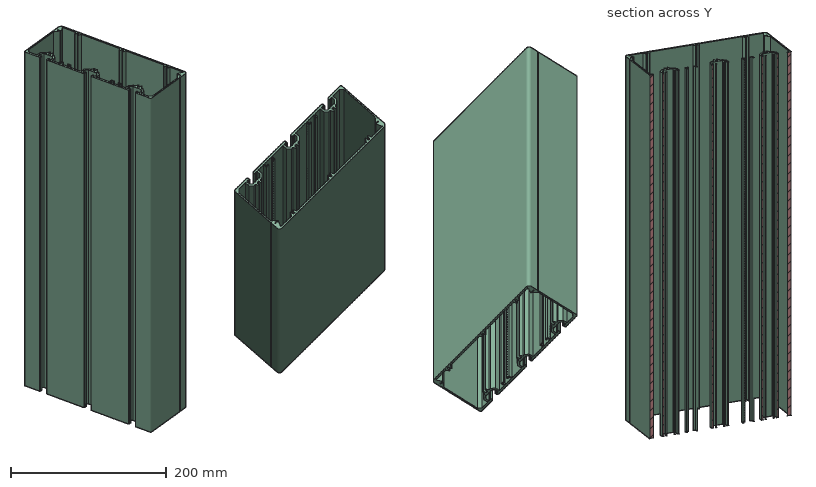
import cadquery as cq

WIDTH = 200.0
DEPTH = 80.0
LENGTH = 500.0
HALF_WIDTH = WIDTH / 2
HALF_DEPTH = DEPTH / 2

WALL = 3.0
BACK_WALL = 2.5
SIDE_WALL = 2.0
BACK_RADIUS = 4.5
FRONT_RADIUS = 1.5
INNER_CHAMFER = 4.0
FRONT_FACE = -HALF_DEPTH
FRONT_INNER = FRONT_FACE + WALL
BACK_INNER = HALF_DEPTH - BACK_WALL

SLOT_PITCH = 70.0
SLOT_CENTRES = (-SLOT_PITCH, 0.0, SLOT_PITCH)
SLOT_OPENING = 10.0
MOUTH_CHAMFER = 0.75
SLOT_HALF_WIDTH = 9.5
SLOT_SIDE_WALL = 2.5
SLOT_DEPTH = 11.0
SLOT_CHAMFER = 3.0
HOUSING_CHAMFER = 4.5
LIP_WIDTH = 1.5
LIP_HEIGHT = 1.5
HOUSING_HALF_WIDTH = SLOT_HALF_WIDTH + SLOT_SIDE_WALL
HOUSING_TOP = FRONT_FACE + SLOT_DEPTH + WALL

RIB_HEIGHT = 4.5
RIB_TIP_GAP = 3.5
RIB_BASE_GAP = 2.5
RIB_TIP = 1.0
RIB_BASE = 3.5

CLIP_CENTRE = 40.0
CLIP_HALF_WIDTH = 8.0
CLIP_HEIGHT = 5.0
CLIP_THICKNESS = 1.5
CLIP_HOOK = 4.5

BEAD_TOP = BACK_INNER
BEAD_PEAK = 29.5
BEAD_BOTTOM = 22.0
BEAD_REACH = 8.5
BEAD_FLAT = 5.0
JOINT_Y = 24.5
JOINT_WIDTH = 1.5
JOINT_DEPTH = 1.0
SLIT_WIDTH = 1.0
SLIT_FLOOR = 3.5


def prism(points):
    """Extrude a closed outline along the full length."""
    return cq.Workplane("XY").polyline(points).close().extrude(LENGTH)


def bar(x_min, x_max, y_min, y_max):
    """Full-length rectangular bar."""
    return prism([(x_min, y_min), (x_max, y_min), (x_max, y_max), (x_min, y_max)])


def arch(centre, half_width, base, top, chamfer):
    """Full-length bar with its two upper edges chamfered."""
    return prism([
        (centre - half_width, base),
        (centre + half_width, base),
        (centre + half_width, top - chamfer),
        (centre + half_width - chamfer, top),
        (centre - half_width + chamfer, top),
        (centre - half_width, top - chamfer),
    ])


def tube():
    """Hollow rectangular duct with rounded outer edges."""
    outer = cq.Workplane("XY").rect(WIDTH, DEPTH).extrude(LENGTH)
    outer = outer.edges("|Z and >Y").fillet(BACK_RADIUS)
    outer = outer.edges("|Z and <Y").fillet(FRONT_RADIUS)
    inner_x = HALF_WIDTH - SIDE_WALL
    cavity = bar(-inner_x, inner_x, FRONT_INNER, BACK_INNER)
    return outer.cut(cavity.edges("|Z and <Y").chamfer(INNER_CHAMFER))


def rib_pair(centre, base, direction):
    """Two ribs rising from base along Y, each tapering to its tip."""
    tip = base + direction * RIB_HEIGHT
    root = base - direction * BACK_WALL / 2
    tip_inner = RIB_TIP_GAP / 2
    base_inner = RIB_BASE_GAP / 2
    base_outer = base_inner + RIB_BASE
    ribs = cq.Workplane("XY")
    for side in (-1, 1):
        ribs = ribs.add(prism([
            (centre + side * base_inner, root),
            (centre + side * base_outer, root),
            (centre + side * base_outer, base),
            (centre + side * (tip_inner + RIB_TIP), tip),
            (centre + side * tip_inner, tip),
            (centre + side * base_inner, base),
        ]))
    return ribs.combine()


def slot_lips(centre):
    """Upstands along both edges of a slot opening."""
    edge = SLOT_OPENING / 2
    lip_top = FRONT_INNER + LIP_HEIGHT
    left = bar(centre - edge - LIP_WIDTH, centre - edge, FRONT_FACE, lip_top)
    right = bar(centre + edge, centre + edge + LIP_WIDTH, FRONT_FACE, lip_top)
    return left.union(right)


def slot_mouth(centre):
    """Opening through the front wall, chamfered at the front face."""
    edge = SLOT_OPENING / 2
    flare = edge + MOUTH_CHAMFER
    return prism([
        (centre - flare, FRONT_FACE),
        (centre + flare, FRONT_FACE),
        (centre + edge, FRONT_FACE + MOUTH_CHAMFER),
        (centre + edge, FRONT_INNER),
        (centre - edge, FRONT_INNER),
        (centre - edge, FRONT_FACE + MOUTH_CHAMFER),
    ])


def add_slot(body, centre):
    """Add a slot housing with its ribs, then open the T-slot."""
    body = body.union(arch(centre, HOUSING_HALF_WIDTH, FRONT_FACE, HOUSING_TOP, HOUSING_CHAMFER))
    slot_top = FRONT_FACE + SLOT_DEPTH
    body = body.cut(arch(centre, SLOT_HALF_WIDTH, FRONT_INNER, slot_top, SLOT_CHAMFER))
    body = body.union(slot_lips(centre))
    body = body.cut(slot_mouth(centre))
    body = body.union(rib_pair(centre, HOUSING_TOP, 1))
    return body.union(rib_pair(centre, BACK_INNER, -1))


def clip_rail(centre, side):
    """One upright on the front wall, hooked toward the clip centre."""
    outer = centre + side * CLIP_HALF_WIDTH
    inner = outer - side * CLIP_THICKNESS
    hook = outer - side * CLIP_HOOK
    top = FRONT_INNER + CLIP_HEIGHT
    return prism([
        (outer, FRONT_FACE),
        (outer, top),
        (hook, top),
        (hook, top - CLIP_THICKNESS),
        (inner, top - CLIP_THICKNESS),
        (inner, FRONT_FACE),
    ])


def joint_bead(side):
    """Thickened bead inside a side wall, backing the cover joint."""
    wall = side * (HALF_WIDTH - SIDE_WALL / 2)
    return prism([
        (wall, BEAD_TOP),
        (side * (HALF_WIDTH - BEAD_FLAT), BEAD_TOP),
        (side * (HALF_WIDTH - BEAD_REACH), BEAD_PEAK),
        (side * (HALF_WIDTH - SIDE_WALL), BEAD_BOTTOM),
        (wall, BEAD_BOTTOM),
    ])


def joint_groove(side):
    """V-groove along the outside of a side wall."""
    face = side * HALF_WIDTH
    return prism([
        (face, JOINT_Y - JOINT_WIDTH / 2),
        (face - side * JOINT_DEPTH, JOINT_Y),
        (face, JOINT_Y + JOINT_WIDTH / 2),
    ])


def joint_slit(side):
    """Narrow slit running into the bead at its peak."""
    floor = side * (HALF_WIDTH - SLIT_FLOOR)
    peak = side * (HALF_WIDTH - BEAD_REACH)
    return prism([
        (floor, BEAD_PEAK - SLIT_WIDTH),
        (peak, BEAD_PEAK - SLIT_WIDTH),
        (peak, BEAD_PEAK),
        (floor, BEAD_PEAK),
    ])


duct = tube()
for slot_centre in SLOT_CENTRES:
    duct = add_slot(duct, slot_centre)
for mirror in (-1, 1):
    for rail_side in (-1, 1):
        duct = duct.union(clip_rail(mirror * CLIP_CENTRE, rail_side))
    duct = duct.union(joint_bead(mirror))
    duct = duct.cut(joint_groove(mirror))
    duct = duct.cut(joint_slit(mirror))

result = duct.translate((0, 0, -LENGTH / 2))